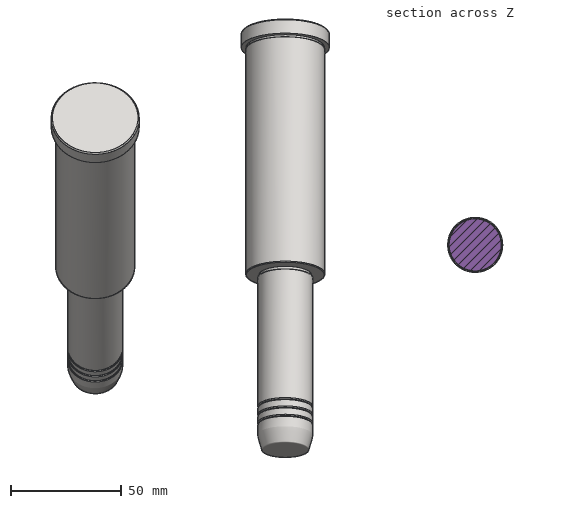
import cadquery as cq

total_length = 200.0
head_radius = 20.0
head_height = 7.0
head_chamfer = 0.5
body_radius = 18.0
body_bottom = 84.0
body_chamfer = 0.5
pin_radius = 12.5

head_relief_depth = 0.2
head_relief_height = 1.0
pin_relief_depth = 0.5
pin_relief_height = 1.5

lead_height = 7.0
lead_mid_radius = 11.8
lead_end_radius = 10.8
tip_round = 0.5

groove_count = 3
groove_first_height = 12.5
groove_pitch = 4.0
groove_width = 1.0
groove_depth = 0.5


def make_pin():
    """Pin shank with a convex lead-in and a rounded tip."""
    tip_flat_radius = lead_end_radius - tip_round
    lead_mid_height = (lead_height + tip_round) / 2
    profile = (
        cq.Workplane("XZ")
        .lineTo(tip_flat_radius, 0)
        .radiusArc((lead_end_radius, tip_round), -tip_round)
        .threePointArc((lead_mid_radius, lead_mid_height), (pin_radius, lead_height))
        .lineTo(pin_radius, body_bottom)
        .lineTo(0, body_bottom)
        .close()
    )
    return profile.revolve(360, (0, 0, 0), (0, 1, 0))


def make_cylinder(radius, bottom, top):
    return cq.Workplane("XY").workplane(offset=bottom).circle(radius).extrude(top - bottom)


def cut_ring(part, outer_radius, depth, bottom, width):
    """Cut a rectangular relief around the axis."""
    ring = (
        cq.Workplane("XY")
        .workplane(offset=bottom)
        .circle(outer_radius)
        .circle(outer_radius - depth)
        .extrude(width)
    )
    return part.cut(ring)


def cut_v_groove(part, outer_radius, depth, center, width):
    """Cut a V-shaped groove around the axis."""
    section = cq.Workplane("XZ").polyline(
        [
            (outer_radius, center - width / 2),
            (outer_radius - depth, center),
            (outer_radius, center + width / 2),
        ]
    )
    return part.cut(section.close().revolve(360, (0, 0, 0), (0, 1, 0)))


head_bottom = total_length - head_height
head = make_cylinder(head_radius, head_bottom, total_length).faces(">Z").edges().chamfer(head_chamfer)
body = make_cylinder(body_radius, body_bottom, head_bottom).faces("<Z").edges().chamfer(body_chamfer)
result = make_pin().union(body).union(head)

result = cut_ring(result, body_radius, head_relief_depth, head_bottom - head_relief_height, head_relief_height)
result = cut_ring(result, pin_radius, pin_relief_depth, body_bottom - pin_relief_height, pin_relief_height)

for index in range(groove_count):
    groove_center = groove_first_height + index * groove_pitch
    result = cut_v_groove(result, pin_radius, groove_depth, groove_center, groove_width)